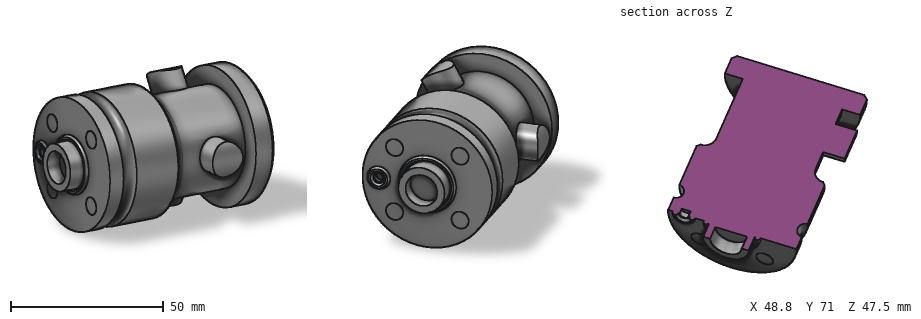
import cadquery as cq
import math

length = 71.0

flange_radius = 23.75
flange_thickness = 8.0
flange_chamfer = 1.5
neck_radius = 17.5
neck_fillet = 4.0

body_radius = 22.5
face_y = 5.95
body_rear_y = 34.0
shoulder_chamfer = body_radius - neck_radius - neck_fillet
groove_half_width = 2.6
groove_depth = 2.5
groove_y = 13.9

pin_radius = 6.0
pin_y = 51.0
pin_reach = 25.0
pin_crown_radius = 12.5
pin_angles = (0, 120, 240)

spigot_radius = 8.0
bore_radius = 5.5
bore_depth = 5.0
collar_radius = 10.0

ring_height = 1.1
ring_rim_width = 0.65

port_x = -16.8
port_radius = 4.0
port_seat_radius = 2.0
port_hole_radius = 1.5
port_depth = 2.0

mark_radius = 3.0
mark_offset = 11.35
mark_depth = 0.1


def rod(radius, y_start, y_end, x=0, z=0):
    """Cylinder along Y."""
    start = cq.Vector(x, y_start, z)
    return cq.Workplane(cq.Solid.makeCylinder(radius, y_end - y_start, start, cq.Vector(0, 1, 0)))


def turned_body():
    neck_start_y = body_rear_y + neck_fillet
    fillet_start_radius = neck_radius + neck_fillet
    fillet_reach = neck_fillet * (1 - math.sqrt(0.5))
    flange_y = length - flange_thickness
    return (
        cq.Workplane("XY")
        .moveTo(0, face_y)
        .lineTo(body_radius, face_y)
        .lineTo(body_radius, groove_y - groove_half_width)
        .threePointArc((body_radius - groove_depth, groove_y), (body_radius, groove_y + groove_half_width))
        .lineTo(body_radius, body_rear_y - shoulder_chamfer)
        .lineTo(fillet_start_radius, body_rear_y)
        .threePointArc((neck_radius + fillet_reach, body_rear_y + fillet_reach), (neck_radius, neck_start_y))
        .lineTo(neck_radius, flange_y)
        .lineTo(flange_radius, flange_y)
        .lineTo(flange_radius, length - flange_chamfer)
        .lineTo(flange_radius - flange_chamfer, length)
        .lineTo(0, length)
        .close()
        .revolve(360, (0, 0, 0), (0, 1, 0))
    )


def pin(angle):
    """Radial pin whose outer end is crowned by a cylinder parallel to Y."""
    crown_x = pin_reach - pin_crown_radius
    stem = cq.Workplane("YZ").center(pin_y, 0).circle(pin_radius).extrude(pin_reach)
    crown = rod(pin_crown_radius, pin_y - pin_radius, pin_y + pin_radius, crown_x)
    tip = stem.intersect(crown)
    root = stem.translate((crown_x - pin_reach, 0, 0))
    return root.union(tip).rotate((0, 0, 0), (0, 1, 0), angle)


def raised_ring(outer_radius, inner_radius, x=0):
    """Ring on the front face whose two rims leave the face at right angles."""
    crest_y = face_y - ring_height
    arc_radius = (ring_rim_width**2 + ring_height**2) / (2 * ring_rim_width)
    half_sweep = math.asin(ring_height / arc_radius) / 2
    mid_inset = arc_radius * (1 - math.cos(half_sweep))
    mid_y = face_y - arc_radius * math.sin(half_sweep)
    return (
        cq.Workplane("XY")
        .moveTo(outer_radius, face_y)
        .threePointArc((outer_radius - mid_inset, mid_y), (outer_radius - ring_rim_width, crest_y))
        .lineTo(inner_radius + ring_rim_width, crest_y)
        .threePointArc((inner_radius + mid_inset, mid_y), (inner_radius, face_y))
        .close()
        .revolve(360, (0, 0, 0), (0, 1, 0))
        .translate((x, 0, 0))
    )


result = turned_body()
for pin_angle in pin_angles:
    result = result.union(pin(pin_angle))

result = result.union(rod(spigot_radius, 0, face_y))
result = result.cut(rod(bore_radius, 0, bore_depth))
result = result.union(raised_ring(collar_radius, spigot_radius))

result = result.union(raised_ring(port_radius, port_seat_radius, port_x))
result = result.cut(rod(port_hole_radius, face_y, face_y + port_depth, port_x))

for mark_x in (-mark_offset, mark_offset):
    for mark_z in (-mark_offset, mark_offset):
        result = result.cut(rod(mark_radius, face_y, face_y + mark_depth, mark_x, mark_z))